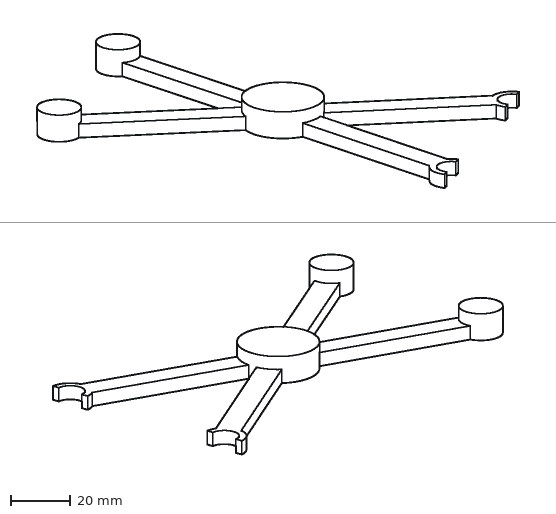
import cadquery as cq
import math

overall_length = 147.4
overall_width = 82.0
overall_height = 9.7

hub_diameter = 28.0
pad_diameter = 15.0
clip_bore_diameter = 10.0

arm_width = 8.8
arm_thickness = 5.0

clip_x = 70.8
clip_y = (overall_width - pad_diameter) / 2
pad_x = clip_x - overall_length + pad_diameter / 2
pad_y = 32.5


def disc(x, y, diameter, height):
    """Vertical cylinder standing on the underside plane."""
    return cq.Workplane("XY").center(x, y).circle(diameter / 2).extrude(height)


def arm(end_x, end_y):
    """Straight bar from the hub axis to the given end point."""
    length = math.hypot(end_x, end_y)
    angle = math.degrees(math.atan2(end_y, end_x))
    bar = cq.Workplane("XY").box(length, arm_width, arm_thickness, centered=(False, True, False))
    return bar.rotate((0, 0, 0), (0, 0, 1), angle)


def padded_arm(side):
    """Arm on the -X side ending in a tall round pad."""
    end_y = side * pad_y
    return arm(pad_x, end_y).union(disc(pad_x, end_y, pad_diameter, overall_height))


def clip_arm(side):
    """Arm on the +X side ending in a half ring that opens toward +X."""
    end_y = side * clip_y
    body = arm(clip_x, end_y).union(disc(clip_x, end_y, pad_diameter, arm_thickness))
    body = body.cut(disc(clip_x, end_y, clip_bore_diameter, arm_thickness))
    open_side = cq.Workplane("XY").center(clip_x + pad_diameter / 2, end_y)
    open_side = open_side.rect(pad_diameter, 2 * pad_diameter).extrude(arm_thickness)
    return body.cut(open_side)


result = disc(0, 0, hub_diameter, overall_height)
for side in (-1, 1):
    result = result.union(padded_arm(side)).union(clip_arm(side))